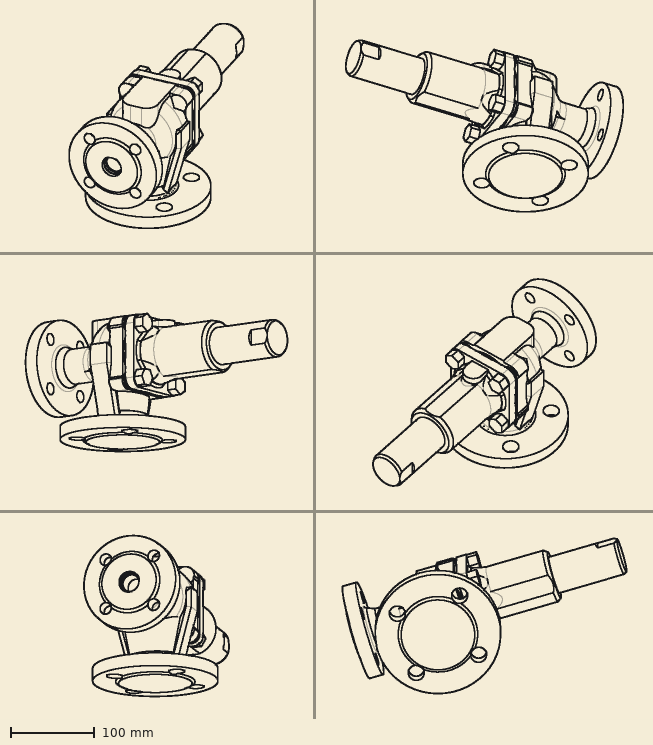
import cadquery as cq
import math


INLET_FACE = -105.0
CAP_END = 229.5
OUTLET_FACE = -100.0

INLET_FLANGE_DIA = 115.0
INLET_HOLE_CIRCLE = 85.0
INLET_HOLE_DIA = 14.0
INLET_SEAL_DIA = 68.0
INLET_SEAL_FOOT_DIA = 75.5
INLET_FLANGE_THICKNESS = 16.9
OUTLET_FLANGE_DIA = 150.0
OUTLET_HOLE_CIRCLE = 110.0
OUTLET_HOLE_DIA = 19.0
OUTLET_SEAL_DIA = 88.0
OUTLET_SEAL_FOOT_DIA = 95.0
OUTLET_FLANGE_THICKNESS = 15.6
SEAL_STEP = 2.3
SEAL_FACE_HEIGHT = 3.0
FLANGE_BACK_RISE = 0.7

BORE_STEPS = [(25.0, 5.0), (24.0, 9.0), (20.96, 30.0)]

BODY_TOP = 32.0
PLATE_BACK = 12.8
BULB_R = 47.0
BULB_CENTRE_Y = -2.2
BULB_ROUND_R = 23.5
INLET_NECK_R = 21.0
NECK_BLEND_R = 14.0
INLET_FLARE_Y = -72.3
INLET_FLARE_R = 24.6
OUTLET_NECK_R = 28.6
OUTLET_FLARE_Z = -67.3
OUTLET_FLARE_R = 32.6
SHOULDER_HALF_WIDTH = 45.0
OUTLET_NECK_HALF_WIDTH = 32.0
FLARE_FILLET = 3.6

BOLT_OFFSET = 33.2
BODY_SQUARE = 89.4
BONNET_SQUARE = 89.0
BODY_CORNER_R = BODY_SQUARE / 2 - BOLT_OFFSET
SIDE_RECESS_DEPTH = 1.5
SIDE_RECESS_LENGTH = 60.0
SIDE_RECESS_MOUTH = 64.8

PAD_WIDTH = 44.5
PAD_TOP = 47.1
PAD_END = -36.2
PAD_CORNER_R = 15.0
PAD_ROOT_R = 2.4
CROTCH_R = 6.0
RIB_WIDTH = 24.2
RIB_REACH = 48.8
RIB_TOP = 12.4
RIB_KNEE_Z = -12.0
RIB_FOOT_REACH = 31.2
RIB_FOOT_Z = -78.0
RIB_DRAFT_WIDTH = 2.8
RIB_DRAFT_HEIGHT = 5.5

BONNET_FOOT = 33.5
BONNET_PLATE_FOOT = 36.6
BONNET_PLATE_TOP = 49.0
FOOT_DISC_DIA = 88.0
BOLT_PAD_R = 10.0
SPIGOT_DIA = 70.0
BARREL_END = 145.2
BARREL_R = 32.0
BARREL_HALF_FLATS = 29.85
BARREL_CHAMFER_LENGTH = 4.6
BARREL_CHAMFER_R = 3.4
NECK_CONE_START = 69.2
NECK_CONE_SLOPE = 0.2
NECK_FOOT_R = BARREL_R + NECK_CONE_SLOPE * (NECK_CONE_START - BONNET_PLATE_TOP)
NECK_FOOT_FLARE = 3.2
BOSS_DIA = 25.0
BOSS_Y = 62.0
BOSS_TOP = 39.2

CAP_R = 22.5
CAP_FLATS = 41.0
CAP_FLAT_LENGTH = 25.7
CAP_CHAMFER_LENGTH = 3.6
CAP_CHAMFER_R = 2.0

HEX_FLATS = 19.0
HEX_HEIGHT = 12.0


def turned_on_y(outline):
    """Turns a closed half outline of (radius, y), drawn in XY, about the Y axis."""
    return outline.close().revolve(360, (0, 0, 0), (0, 1, 0))


def section_at(y):
    """A sketch plane facing +Y, with the sketch's x along -X and y along Z."""
    return cq.Workplane("XZ", origin=(0, y, 0)).transformed(rotate=(0, 180, 0))


def rounded_square(width, y_start, y_end):
    """The square joint plate around the main axis, with rounded corners."""
    return (
        section_at(y_start)
        .rect(width, width)
        .extrude(y_end - y_start)
        .edges("|Y")
        .fillet(width / 2 - BOLT_OFFSET)
    )


def flange(face, thickness, outer_dia, seal_dia, seal_foot_dia, hole_circle, hole_dia, back_r, back_rise):
    """A pipe flange on the Y axis whose sealing face looks toward -Y."""
    rim_front = face + SEAL_FACE_HEIGHT
    rim_back = rim_front + thickness
    solid = turned_on_y(
        cq.Workplane("XY")
        .moveTo(0, face)
        .lineTo(seal_dia / 2, face)
        .lineTo(seal_foot_dia / 2, face + SEAL_STEP)
        .lineTo(outer_dia / 2, rim_front)
        .lineTo(outer_dia / 2, rim_back)
        .lineTo(back_r, rim_back + back_rise)
        .lineTo(0, rim_back + back_rise)
    )
    holes = (
        section_at(face)
        .polarArray(hole_circle / 2, 45, 360, 4)
        .circle(hole_dia / 2)
        .extrude(thickness + SEAL_FACE_HEIGHT + back_rise)
    )
    return solid.cut(holes)


def flared_foot(start, end, start_r, end_r):
    """A cone flaring toward -Y, ending in a concave fillet against its flange."""
    return turned_on_y(
        cq.Workplane("XY")
        .moveTo(0, start)
        .lineTo(start_r, start)
        .lineTo(end_r, end + FLARE_FILLET)
        .radiusArc((end_r + FLARE_FILLET, end), -FLARE_FILLET)
        .lineTo(0, end)
    )


def bulb_and_inlet_neck(neck_end):
    """The round bulb, rounding off into a 45 degree cone and then the inlet neck."""
    diagonal = math.sqrt(0.5)
    arc_centre_r = BULB_R - BULB_ROUND_R
    arc_middle = (
        arc_centre_r + BULB_ROUND_R * math.cos(math.pi / 8),
        BULB_CENTRE_Y - BULB_ROUND_R * math.sin(math.pi / 8),
    )
    cone_start = (
        arc_centre_r + BULB_ROUND_R * diagonal,
        BULB_CENTRE_Y - BULB_ROUND_R * diagonal,
    )
    blend_start_r = INLET_NECK_R + NECK_BLEND_R * (1 - diagonal)
    blend_start_y = cone_start[1] - (cone_start[0] - blend_start_r)
    blend_end_y = blend_start_y - NECK_BLEND_R * diagonal
    bulb = turned_on_y(
        cq.Workplane("XY")
        .moveTo(0, PLATE_BACK)
        .lineTo(BULB_R, PLATE_BACK)
        .lineTo(BULB_R, BULB_CENTRE_Y)
        .threePointArc(arc_middle, cone_start)
        .lineTo(blend_start_r, blend_start_y)
        .radiusArc((INLET_NECK_R, blend_end_y), -NECK_BLEND_R)
        .lineTo(INLET_NECK_R, neck_end)
        .lineTo(0, neck_end)
    )
    trim_depth = -OUTLET_NECK_R - neck_end
    trim = (
        section_at(neck_end)
        .moveTo(0, RIB_KNEE_Z - BULB_R / 2)
        .rect(2 * BULB_R, BULB_R)
        .extrude(trim_depth)
        .cut(section_at(neck_end).circle(INLET_NECK_R).extrude(trim_depth))
    )
    return bulb.cut(trim)


def joint_plate():
    """The square plate under the bonnet, with recessed sides and coned bolt bosses."""
    plate = rounded_square(BODY_SQUARE, PLATE_BACK, BODY_TOP)
    half = BODY_SQUARE / 2
    for side in (-1, 1):
        recess = (
            section_at(PLATE_BACK)
            .moveTo(side * half, -SIDE_RECESS_MOUTH / 2)
            .lineTo(side * (half - SIDE_RECESS_DEPTH), -SIDE_RECESS_LENGTH / 2)
            .lineTo(side * (half - SIDE_RECESS_DEPTH), SIDE_RECESS_LENGTH / 2)
            .lineTo(side * half, SIDE_RECESS_MOUTH / 2)
            .close()
            .extrude(BODY_TOP - PLATE_BACK)
        )
        plate = plate.cut(recess)
    for x in (-BOLT_OFFSET, BOLT_OFFSET):
        for z in (-BOLT_OFFSET, BOLT_OFFSET):
            tip = cq.Solid.makeCone(
                BODY_CORNER_R, 0, BODY_CORNER_R, cq.Vector(x, PLATE_BACK, z), cq.Vector(0, -1, 0)
            )
            plate = plate.union(cq.Workplane(tip))
    return plate


def outlet_neck():
    """The oval outlet neck, narrowing in X from its shoulder to its flare."""
    knee_plane = cq.Workplane("XY", origin=(0, 0, RIB_KNEE_Z))
    tapered = (
        knee_plane.ellipse(SHOULDER_HALF_WIDTH, OUTLET_NECK_R)
        .workplane(offset=OUTLET_FLARE_Z - RIB_KNEE_Z)
        .ellipse(OUTLET_NECK_HALF_WIDTH, OUTLET_NECK_R)
        .loft(ruled=True)
    )
    core = knee_plane.ellipse(SHOULDER_HALF_WIDTH, OUTLET_NECK_R).extrude(-RIB_KNEE_Z)
    return tapered.union(core)


def top_pad():
    """The flat pad standing on the bulb, with its front corners rounded."""
    pad = (
        cq.Workplane("XY")
        .moveTo(0, (BODY_TOP + PAD_END) / 2)
        .rect(PAD_WIDTH, BODY_TOP - PAD_END)
        .extrude(PAD_TOP)
        .edges("|Z and <Y")
        .fillet(PAD_CORNER_R)
    )
    plate_top = BODY_SQUARE / 2
    for side in (-1, 1):
        root = (
            section_at(PLATE_BACK)
            .moveTo(side * PAD_WIDTH / 2, plate_top + PAD_ROOT_R)
            .radiusArc((side * (PAD_WIDTH / 2 + PAD_ROOT_R), plate_top), -side * PAD_ROOT_R)
            .lineTo(side * PAD_WIDTH / 2, plate_top)
            .close()
            .extrude(BODY_TOP - PLATE_BACK)
        )
        pad = pad.union(root)
    return pad


def side_ribs():
    """A pair of ribs leaning in from the bulb to the outlet flange, as one block."""
    half_outline = [
        (RIB_REACH, RIB_TOP),
        (RIB_REACH, RIB_KNEE_Z),
        (RIB_FOOT_REACH, RIB_FOOT_Z),
    ]
    mirrored = [(-x, z) for x, z in reversed(half_outline)]
    outline = half_outline + mirrored
    half_width = RIB_WIDTH / 2
    draft_angle = math.degrees(math.atan(RIB_DRAFT_HEIGHT / RIB_DRAFT_WIDTH))
    ribs = cq.Workplane("XZ").polyline(outline).close().extrude(half_width, both=True)
    front_draft = (
        cq.Workplane("XZ", origin=(0, -half_width, 0))
        .polyline(outline)
        .close()
        .extrude(RIB_DRAFT_WIDTH, taper=draft_angle)
    )
    return ribs.union(front_draft).union(front_draft.mirror("XZ"))


def make_body():
    """The valve body with both flanged necks, the joint plate, the pad and the ribs."""
    inlet_back = INLET_FACE + SEAL_FACE_HEIGHT + INLET_FLANGE_THICKNESS
    inlet_flange = flange(
        INLET_FACE, INLET_FLANGE_THICKNESS, INLET_FLANGE_DIA, INLET_SEAL_DIA,
        INLET_SEAL_FOOT_DIA, INLET_HOLE_CIRCLE, INLET_HOLE_DIA, INLET_FLARE_R, 0,
    )
    inlet_foot = flared_foot(INLET_FLARE_Y, inlet_back, INLET_NECK_R, INLET_FLARE_R)
    outlet_back = OUTLET_FACE + SEAL_FACE_HEIGHT + OUTLET_FLANGE_THICKNESS + FLANGE_BACK_RISE
    outlet_flange = flange(
        OUTLET_FACE, OUTLET_FLANGE_THICKNESS, OUTLET_FLANGE_DIA, OUTLET_SEAL_DIA,
        OUTLET_SEAL_FOOT_DIA, OUTLET_HOLE_CIRCLE, OUTLET_HOLE_DIA, OUTLET_FLARE_R, FLANGE_BACK_RISE,
    )
    outlet_foot = flared_foot(OUTLET_FLARE_Z, outlet_back, OUTLET_NECK_R, OUTLET_FLARE_R)
    outlet_end = outlet_flange.union(outlet_foot).rotate((0, 0, 0), (1, 0, 0), 90)

    necks = (
        bulb_and_inlet_neck(INLET_FLARE_Y)
        .union(outlet_neck())
        .edges(cq.selectors.NearestToPointSelector((0, -OUTLET_NECK_R, -INLET_NECK_R)))
        .fillet(CROTCH_R)
    )
    solid = (
        necks.union(joint_plate())
        .union(top_pad())
        .union(side_ribs())
        .union(outlet_end)
        .union(inlet_foot)
        .union(inlet_flange)
    )
    for bore_dia, bore_depth in BORE_STEPS:
        solid = solid.cut(section_at(INLET_FACE).circle(bore_dia / 2).extrude(bore_depth))
    return solid


def bonnet_barrel():
    """The barrel with flats above and below and a chamfered free end."""
    barrel = turned_on_y(
        cq.Workplane("XY")
        .moveTo(0, BONNET_PLATE_TOP)
        .lineTo(BARREL_R, BONNET_PLATE_TOP)
        .lineTo(BARREL_R, BARREL_END - BARREL_CHAMFER_LENGTH)
        .lineTo(BARREL_R - BARREL_CHAMFER_R, BARREL_END)
        .lineTo(0, BARREL_END)
    )
    envelope = (
        section_at(BONNET_PLATE_TOP)
        .rect(2 * BARREL_R, 2 * BARREL_HALF_FLATS)
        .extrude(BARREL_END - BONNET_PLATE_TOP)
    )
    return barrel.intersect(envelope)


def bonnet_neck():
    """The widening neck, trimmed beside the bolts by flats set at 45 degrees."""
    cone_length = BARREL_R / NECK_CONE_SLOPE
    cone = turned_on_y(
        cq.Workplane("XY")
        .moveTo(0, BONNET_PLATE_TOP)
        .lineTo(NECK_FOOT_R, BONNET_PLATE_TOP)
        .lineTo(0, NECK_CONE_START + cone_length)
    )
    envelope = (
        section_at(BONNET_PLATE_TOP)
        .transformed(rotate=(0, 0, 45))
        .rect(2 * BARREL_R, 2 * BARREL_R)
        .extrude(BARREL_END - BONNET_PLATE_TOP - BARREL_CHAMFER_LENGTH)
    )
    return cone.intersect(envelope)


def bonnet_neck_foot():
    """The 45 degree flare around the neck and its flats, against the flange."""
    flare_end = BONNET_PLATE_TOP + NECK_FOOT_FLARE
    round_flare = turned_on_y(
        cq.Workplane("XY")
        .moveTo(0, BONNET_PLATE_TOP)
        .lineTo(NECK_FOOT_R + NECK_FOOT_FLARE, BONNET_PLATE_TOP)
        .lineTo(NECK_FOOT_R, flare_end)
        .lineTo(0, flare_end)
    )
    flat_width = 2 * (BARREL_R + NECK_FOOT_FLARE)
    flat_flare = (
        section_at(BONNET_PLATE_TOP)
        .transformed(rotate=(0, 0, 45))
        .rect(flat_width, flat_width)
        .extrude(NECK_FOOT_FLARE, taper=45)
    )
    return round_flare.intersect(flat_flare)


def bonnet_boss():
    """The round boss on top of the neck, running straight into the flange."""
    round_part = cq.Workplane("XY").moveTo(0, BOSS_Y).circle(BOSS_DIA / 2).extrude(BOSS_TOP)
    straight_length = BOSS_Y - BONNET_PLATE_TOP
    straight_part = (
        cq.Workplane("XY")
        .moveTo(0, BONNET_PLATE_TOP + straight_length / 2)
        .rect(BOSS_DIA, straight_length)
        .extrude(BOSS_TOP)
    )
    return round_part.union(straight_part)


def bonnet_foot():
    """The foot disc, the pads below the bolts and the locating spigot."""
    foot_height = BONNET_PLATE_FOOT - BONNET_FOOT
    disc = section_at(BONNET_FOOT).circle(FOOT_DISC_DIA / 2).extrude(foot_height)
    pads = (
        section_at(BONNET_FOOT)
        .rect(2 * BOLT_OFFSET, 2 * BOLT_OFFSET, forConstruction=True)
        .vertices()
        .circle(BOLT_PAD_R)
        .extrude(foot_height)
    )
    spigot = section_at(BODY_TOP).circle(SPIGOT_DIA / 2).extrude(BONNET_FOOT - BODY_TOP)
    return disc.union(pads).union(spigot)


def make_bonnet():
    """The bonnet, from its spigot in the joint up to the end of its barrel."""
    plate = rounded_square(BONNET_SQUARE, BONNET_PLATE_FOOT, BONNET_PLATE_TOP)
    return (
        plate.union(bonnet_neck())
        .union(bonnet_neck_foot())
        .union(bonnet_barrel())
        .union(bonnet_boss())
        .union(bonnet_foot())
    )


def make_cap():
    """The cap with a chamfered end and a pair of spanner flats that run out at 45 degrees."""
    cap = turned_on_y(
        cq.Workplane("XY")
        .moveTo(0, BARREL_END)
        .lineTo(CAP_R, BARREL_END)
        .lineTo(CAP_R, CAP_END - CAP_CHAMFER_LENGTH)
        .lineTo(CAP_R - CAP_CHAMFER_R, CAP_END)
        .lineTo(0, CAP_END)
    )
    ramp = CAP_R - CAP_FLATS / 2
    for side in (-1, 1):
        flat = (
            cq.Workplane("XY", origin=(0, 0, -CAP_R))
            .moveTo(side * CAP_FLATS / 2, CAP_END)
            .lineTo(side * CAP_FLATS / 2, CAP_END - CAP_FLAT_LENGTH + ramp)
            .lineTo(side * CAP_R, CAP_END - CAP_FLAT_LENGTH)
            .lineTo(side * CAP_R, CAP_END)
            .close()
            .extrude(2 * CAP_R)
        )
        cap = cap.cut(flat)
    return cap


def make_bolts():
    """Four hexagon bolts on the bonnet flange, each a quarter turn on from the last."""
    hex_corner_dia = HEX_FLATS / math.cos(math.pi / 6)
    first = (
        section_at(BONNET_PLATE_TOP)
        .center(BOLT_OFFSET, BOLT_OFFSET)
        .polygon(6, hex_corner_dia)
        .extrude(HEX_HEIGHT)
    )
    return [first.rotate((0, 0, 0), (0, 1, 0), 90 * turn) for turn in range(4)]


body = make_body()
bonnet = make_bonnet()
cap = make_cap()
bolts = make_bolts()

result = cq.Compound.makeCompound([body.val(), bonnet.val(), cap.val(), *[bolt.val() for bolt in bolts]])